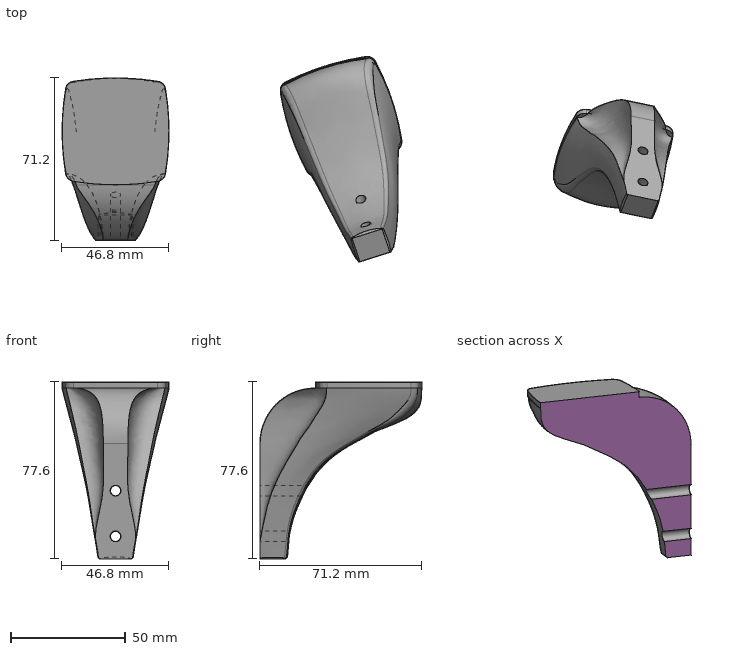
import cadquery as cq

HEIGHT = 77.55
DEPTH = 71.2

PLATE_SIZE = 46.8
PLATE_THICKNESS = 2.55
PLATE_CORNER = 21.4
PLATE_CORNER_RADIUS = 4.3
PLATE_CENTER_Y = DEPTH - PLATE_SIZE / 2
PLATE_BOTTOM = HEIGHT - PLATE_THICKNESS

SHOULDER_RADIUS = DEPTH - PLATE_SIZE

HOLE_DIAMETER = 4.5
LOWER_HOLE_Z = 10.0
HOLE_SPACING = 20.0

FOOT_CHAMFER = 0.8
FRONT_ALLOWANCE = 1.55

LEG_STATIONS = [
    (0, 7.7, 7.45, 7.1, 0.5, 10.55, 11.9),
    (10.1, 9.2, 9.0, 8.7, 0.5, 11.7, 12.95),
    (20.55, 10.9, 10.6, 7, 2.6, 13.95, 15.7),
    (31.8, 12.95, 12.4, 5.3, 6.2, 18.8, 20.85),
    (43.0, 15.4, 14.6, 5.3, 11.95, 27.5, 29.8),
    (50.4, 17.1, 16.0, 5.35, 16.3, 38, 40.3),
    (55.8, 18.45, 17.1, 5.4, 19.85, 47.3, 50.4),
    (59.7, 19.5, 18.0, 5.6, 22.65, 54.3, 60.1),
    (62, 20.1, 18.5, 5.7, 24, 57.6, 64.9),
    (66.3, 21.25, 19.55, 6.35, 26.75, 62, 69.5),
    (70.1, 22.25, 20.5, 7.6, 28.6, 65.1, 70.7),
    (72.9, 22.95, 21.2, 9.7, 29.15, 66.15, 70.9),
    (PLATE_BOTTOM, 23.4, 21.6, 14.7, 29.3, 66.4, 71.0),
]
REAR_CORNER_RUN = 0.14
REAR_CORNER_RISE = 0.6
REAR_CORNER_BULGE = 0.25


def leg_section(half, rim, web, rim_y, corner_y, rear_y):
    """Closed outline: flat web front, hollow flanks, bowed sides and bowed rear."""
    mid_y = (rim_y + corner_y) / 2
    run = REAR_CORNER_RUN * rim
    rise = REAR_CORNER_RISE * (rear_y - corner_y)
    corner_x = rim - run / 2 + REAR_CORNER_BULGE * run
    corner_mid_y = corner_y + rise / 2 + REAR_CORNER_BULGE * rise
    return (
        cq.Workplane("XY")
        .moveTo(-web, -FRONT_ALLOWANCE)
        .lineTo(web, -FRONT_ALLOWANCE)
        .bezier([(web, -FRONT_ALLOWANCE), (web, rim_y), (rim, rim_y)])
        .threePointArc((half, mid_y), (rim, corner_y))
        .threePointArc((corner_x, corner_mid_y), (rim - run, corner_y + rise))
        .threePointArc((0, rear_y), (run - rim, corner_y + rise))
        .threePointArc((-corner_x, corner_mid_y), (-rim, corner_y))
        .threePointArc((-half, mid_y), (-rim, rim_y))
        .bezier([(-rim, rim_y), (-web, rim_y), (-web, -FRONT_ALLOWANCE)])
        .close()
        .val()
    )


def make_leg():
    sections = []
    for z, *shape in LEG_STATIONS:
        sections.append(leg_section(*shape).moved(cq.Location(cq.Vector(0, 0, z))))
    return cq.Workplane(cq.Solid.makeLoft(sections))


def make_shoulder_waste():
    """Everything in front of the flat mounting face and its quarter-round shoulder."""
    bottom = PLATE_BOTTOM - SHOULDER_RADIUS
    return (
        cq.Workplane("YZ")
        .moveTo(0, bottom)
        .radiusArc((SHOULDER_RADIUS, PLATE_BOTTOM), SHOULDER_RADIUS)
        .lineTo(SHOULDER_RADIUS, HEIGHT)
        .lineTo(-SHOULDER_RADIUS, HEIGHT)
        .lineTo(-SHOULDER_RADIUS, 0)
        .lineTo(0, 0)
        .close()
        .extrude(PLATE_SIZE, both=True)
    )


def bevel_wedge(plane, edge):
    """Long wedge that bevels the foot's bottom edge at the given offset from the axis."""
    rise = 2 * FOOT_CHAMFER
    return (
        cq.Workplane(plane)
        .polyline([(edge - FOOT_CHAMFER, 0), (edge + rise, 0), (edge + FOOT_CHAMFER, rise)])
        .close()
        .extrude(DEPTH, both=True)
    )


def make_foot_chamfers():
    """Wedges that bevel the two sides and the rear of the foot's bottom edge."""
    _, half, _, _, _, _, rear = LEG_STATIONS[0]
    side = bevel_wedge("XZ", half)
    rear_wedge = bevel_wedge("YZ", rear)
    return side.union(side.mirror("YZ")).union(rear_wedge)


def make_plate():
    half = PLATE_SIZE / 2
    c = PLATE_CORNER
    return (
        cq.Workplane("XY", origin=(0, PLATE_CENTER_Y, PLATE_BOTTOM))
        .moveTo(-c, -c)
        .threePointArc((0, -half), (c, -c))
        .threePointArc((half, 0), (c, c))
        .threePointArc((0, half), (-c, c))
        .threePointArc((-half, 0), (-c, -c))
        .close()
        .extrude(PLATE_THICKNESS)
        .edges("|Z")
        .fillet(PLATE_CORNER_RADIUS)
    )


def make_screw_holes():
    return (
        cq.Workplane("XZ")
        .pushPoints([(0, LOWER_HOLE_Z), (0, LOWER_HOLE_Z + HOLE_SPACING)])
        .circle(HOLE_DIAMETER / 2)
        .extrude(-DEPTH)
    )


leg = make_leg().cut(make_shoulder_waste()).cut(make_foot_chamfers())
result = leg.union(make_plate()).cut(make_screw_holes())